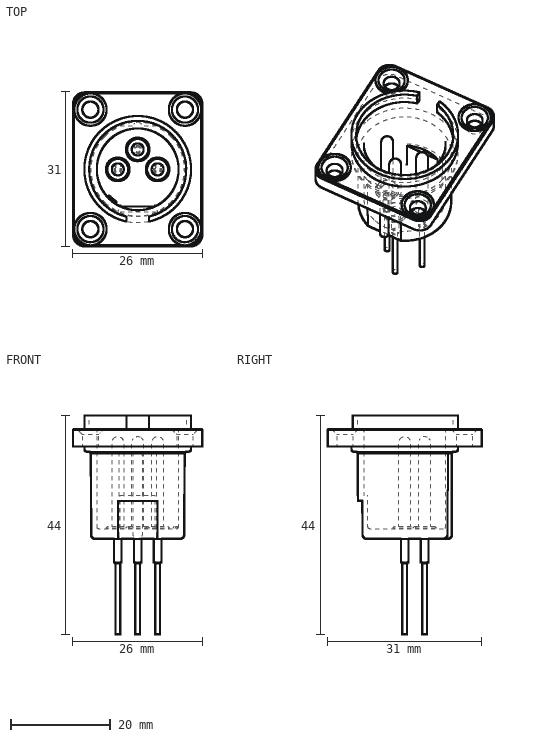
import cadquery as cq
import math

TOTAL_HEIGHT = 43.95
PLATE_TOP = 41.25
PLATE_BOTTOM = 37.65
COLLAR_BOTTOM = 36.65
BODY_BOTTOM = 19.15
SLEEVE_BOTTOM = 14.45
FLAT_TOP = 26.8
PIN_TIP = 39.7

PLATE_WIDTH = 26.0
PLATE_LENGTH = 31.0
PLATE_CORNER_RADIUS = 2.5
PLATE_CHAMFER = 0.25

SCREW_SPACING_X = 19.0
SCREW_SPACING_Y = 24.0
SCREW_HOLE_DIAMETER = 3.2
COUNTERSINK_DIAMETER = 5.27
RECESS_DIAMETER = 6.5
RECESS_DEPTH = 0.15

RING_OUTER_RADIUS = 10.72
RING_INNER_RADIUS = 9.75
RING_GAP_WIDTH = 4.55
COLLAR_RADIUS = RING_OUTER_RADIUS
COLLAR_EDGE_FILLET = 0.5
COLLAR_ROOT_FILLET = 0.3

BODY_TOP_RADIUS = 9.5
BODY_BOTTOM_RADIUS = 9.35
BODY_EDGE_FILLET = 0.85
FRONT_FLAT_Y = -8.5
BACK_FLAT_Y = 8.55
RIB_RADIUS = BODY_TOP_RADIUS - BACK_FLAT_Y

FLOOR_THICKNESS = 2.0
FLOOR = BODY_BOTTOM + FLOOR_THICKNESS
SOCKET_RADIUS = 8.2
SOCKET_FLAT_WALL = 1.05
SOCKET_FLOOR_FILLET = 0.45
SOCKET_MOUTH_FILLET = 0.53

CONTACT_OFFSET = 4.0
CONTACT_CENTERS = [(-CONTACT_OFFSET, 0), (0, CONTACT_OFFSET), (CONTACT_OFFSET, 0)]
PIN_DIAMETER = 2.4
SLEEVE_DIAMETER = 1.6
WIRE_DIAMETER = 1.0
NECK_DIAMETER = 1.2
NECK_HEIGHT = 0.25
BOSS_BASE_DIAMETER = 4.75
BOSS_HEIGHT = 0.45
BOSS_CHAMFER = 0.25

CLEARANCE = 2 * PLATE_LENGTH


def cylinder(radius, bottom, top, center=(0, 0)):
    """Upright cylinder between two heights."""
    return cq.Workplane("XY", origin=(*center, bottom)).circle(radius).extrude(top - bottom)


def cone(bottom_radius, top_radius, bottom, top, center=(0, 0)):
    """Upright truncated cone between two heights."""
    base = cq.Vector(*center, bottom)
    return cq.Workplane(cq.Solid.makeCone(bottom_radius, top_radius, top - bottom, pnt=base))


def half_space(y_face, side, bottom, top):
    """Block that fills everything beyond y_face, on the +Y (1) or -Y (-1) side."""
    center_y = y_face + side * CLEARANCE / 2
    block = cq.Workplane("XY", origin=(0, center_y, bottom))
    return block.rect(CLEARANCE, CLEARANCE).extrude(top - bottom)


def make_countersink(x, y):
    """Cone narrowing at 45 degrees from the recess floor to the screw hole."""
    depth = (COUNTERSINK_DIAMETER - SCREW_HOLE_DIAMETER) / 2
    top = PLATE_TOP - RECESS_DEPTH
    return cone(SCREW_HOLE_DIAMETER / 2, COUNTERSINK_DIAMETER / 2, top - depth, top, (x, y))


def flared_disc(radius, flare, bottom):
    """Disc as thick as its flare, widening upward along a concave quarter circle."""
    wide_radius = radius + flare
    arc_offset = flare * math.sqrt(0.5)
    return (
        cq.Workplane("XZ")
        .moveTo(0, bottom)
        .lineTo(radius, bottom)
        .threePointArc((wide_radius - arc_offset, bottom + arc_offset), (wide_radius, bottom + flare))
        .lineTo(0, bottom + flare)
        .close()
        .revolve(360, (0, 0), (0, 1))
    )


def make_plate():
    plate = (
        cq.Workplane("XY", origin=(0, 0, PLATE_BOTTOM))
        .rect(PLATE_WIDTH, PLATE_LENGTH)
        .extrude(PLATE_TOP - PLATE_BOTTOM)
        .edges("|Z").fillet(PLATE_CORNER_RADIUS)
        .faces(">Z").edges().chamfer(PLATE_CHAMFER)
    )
    recess_floor = PLATE_TOP - RECESS_DEPTH
    for x in (-SCREW_SPACING_X / 2, SCREW_SPACING_X / 2):
        for y in (-SCREW_SPACING_Y / 2, SCREW_SPACING_Y / 2):
            plate = plate.cut(cylinder(RECESS_DIAMETER / 2, recess_floor, PLATE_TOP, (x, y)))
            plate = plate.cut(make_countersink(x, y))
            plate = plate.cut(cylinder(SCREW_HOLE_DIAMETER / 2, PLATE_BOTTOM, PLATE_TOP, (x, y)))
    return plate


def make_guard_ring():
    ring = cylinder(RING_OUTER_RADIUS, PLATE_TOP, TOTAL_HEIGHT)
    ring = ring.cut(cylinder(RING_INNER_RADIUS, PLATE_TOP, TOTAL_HEIGHT))
    gap = (
        cq.Workplane("XY", origin=(0, -RING_OUTER_RADIUS, PLATE_TOP))
        .rect(RING_GAP_WIDTH, RING_OUTER_RADIUS)
        .extrude(TOTAL_HEIGHT - PLATE_TOP)
    )
    return ring.cut(gap)


def make_body():
    """Drafted round body with both flats, the rib, and a rounded bottom edge."""
    body = cone(BODY_BOTTOM_RADIUS, BODY_TOP_RADIUS, BODY_BOTTOM, COLLAR_BOTTOM)
    body = body.faces("<Z").edges().fillet(BODY_EDGE_FILLET)

    draft_slope = (BODY_TOP_RADIUS - BODY_BOTTOM_RADIUS) / (COLLAR_BOTTOM - BODY_BOTTOM)
    front_top_y = FRONT_FLAT_Y - draft_slope * (FLAT_TOP - BODY_BOTTOM)
    back_top_y = BACK_FLAT_Y + draft_slope * (COLLAR_BOTTOM - BODY_BOTTOM)
    side_prism = (
        cq.Workplane("YZ")
        .moveTo(FRONT_FLAT_Y, BODY_BOTTOM)
        .lineTo(BACK_FLAT_Y, BODY_BOTTOM)
        .lineTo(back_top_y, COLLAR_BOTTOM)
        .lineTo(-COLLAR_RADIUS, COLLAR_BOTTOM)
        .lineTo(-COLLAR_RADIUS, FLAT_TOP)
        .lineTo(front_top_y, FLAT_TOP)
        .close()
        .extrude(COLLAR_RADIUS, both=True)
    )
    side_prism = side_prism.faces("<Z").edges("|X").fillet(BODY_EDGE_FILLET)
    body = body.intersect(side_prism)

    rib = cylinder(RIB_RADIUS, BODY_BOTTOM, COLLAR_BOTTOM, (0, BACK_FLAT_Y))
    return body.union(rib.faces("<Z").edges().fillet(BODY_EDGE_FILLET))


def make_collar():
    """Rounded collar that blends into the body below it."""
    collar = cylinder(COLLAR_RADIUS, COLLAR_BOTTOM, PLATE_BOTTOM)
    collar = collar.faces("<Z").edges().fillet(COLLAR_EDGE_FILLET)
    root = flared_disc(BODY_TOP_RADIUS, COLLAR_ROOT_FILLET, COLLAR_BOTTOM - COLLAR_ROOT_FILLET)
    return collar.union(root)


def make_socket():
    """Socket cavity, narrowed by a step behind the front flat, with a flared mouth."""
    socket = cylinder(SOCKET_RADIUS, FLOOR, PLATE_TOP)
    step = half_space(FRONT_FLAT_Y + SOCKET_FLAT_WALL, -1, FLOOR, FLAT_TOP + SOCKET_FLAT_WALL)
    socket = socket.cut(step).faces("<Z").edges().fillet(SOCKET_FLOOR_FILLET)
    mouth = flared_disc(SOCKET_RADIUS, SOCKET_MOUTH_FILLET, PLATE_TOP - SOCKET_MOUTH_FILLET)
    return socket.union(mouth)


def make_contact(center):
    """Round-ended pin on a chamfered boss, with a solder sleeve, neck and wire below the body."""
    boss = cylinder(BOSS_BASE_DIAMETER / 2, FLOOR, FLOOR + BOSS_HEIGHT, center)
    boss = boss.faces(">Z").edges().chamfer(BOSS_CHAMFER)
    pin_shoulder = PIN_TIP - PIN_DIAMETER / 2
    pin = cylinder(PIN_DIAMETER / 2, FLOOR, pin_shoulder, center)
    tip = cq.Workplane("XY", origin=(*center, pin_shoulder)).sphere(PIN_DIAMETER / 2)
    sleeve = cylinder(SLEEVE_DIAMETER / 2, SLEEVE_BOTTOM, FLOOR, center)
    wire = cylinder(WIRE_DIAMETER / 2, 0, FLOOR, center)
    neck_bottom = SLEEVE_BOTTOM - NECK_HEIGHT
    neck = cone(WIRE_DIAMETER / 2, NECK_DIAMETER / 2, neck_bottom, SLEEVE_BOTTOM, center)
    return boss.union(pin).union(tip).union(sleeve).union(neck).union(wire)


shell = make_plate().union(make_guard_ring()).union(make_collar())
result = shell.union(make_body()).cut(make_socket())
for contact_center in CONTACT_CENTERS:
    result = result.union(make_contact(contact_center))